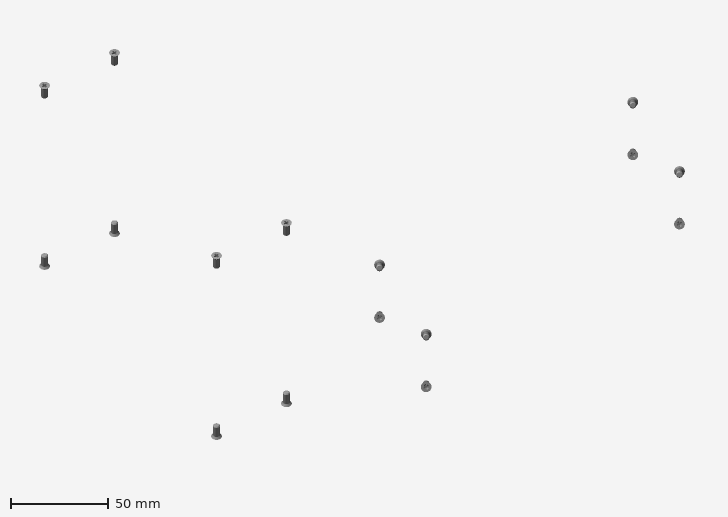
import cadquery as cq

PATTERN_LENGTH_X = 161.0
PATTERN_WIDTH_Y = 49.03
PATTERN_HEIGHT_Z = 126.6

HEAD_DIAMETER = 5.5
HEAD_HEIGHT = 1.15
SHANK_DIAMETER = 3.5
SCREW_LENGTH = 8.0
TIP_CHAMFER = 0.5

RECESS_SPAN = 3.0
RECESS_FLOOR_DIAMETER = 1.5
RECESS_ARM_WIDTH = 1.0
RECESS_DEPTH = 1.5

HEAD_RADIUS = HEAD_DIAMETER / 2
SHANK_RADIUS = SHANK_DIAMETER / 2
CENTER_X = (PATTERN_LENGTH_X - HEAD_DIAMETER) / 2
CENTER_Y = (PATTERN_WIDTH_Y - HEAD_DIAMETER) / 2
HEAD_FACE_Z = PATTERN_HEIGHT_Z / 2


def make_cross_recess():
    """Cross-shaped cutter, its arms sloping inwards to a flat floor."""
    taper = cq.Solid.makeCone(
        RECESS_FLOOR_DIAMETER / 2,
        RECESS_SPAN / 2,
        RECESS_DEPTH,
        pnt=cq.Vector(0, 0, -RECESS_DEPTH),
    )
    arm_x = cq.Workplane("XY").rect(RECESS_SPAN, RECESS_ARM_WIDTH).extrude(-RECESS_DEPTH)
    arm_y = cq.Workplane("XY").rect(RECESS_ARM_WIDTH, RECESS_SPAN).extrude(-RECESS_DEPTH)
    return arm_x.union(arm_y).intersect(cq.Workplane(obj=taper))


def make_screw():
    """Countersunk screw pointing down, with its head face at Z = 0."""
    body = (
        cq.Workplane("XZ")
        .moveTo(0, 0)
        .lineTo(HEAD_RADIUS, 0)
        .lineTo(SHANK_RADIUS, -HEAD_HEIGHT)
        .lineTo(SHANK_RADIUS, -SCREW_LENGTH + TIP_CHAMFER)
        .lineTo(SHANK_RADIUS - TIP_CHAMFER, -SCREW_LENGTH)
        .lineTo(0, -SCREW_LENGTH)
        .close()
        .revolve(360, (0, 0, 0), (0, 1, 0))
    )
    return body.cut(make_cross_recess())


upper_screw = make_screw()
lower_screw = upper_screw.rotate((0, 0, 0), (1, 0, 0), 180)

screws = []
for x in (-CENTER_X, CENTER_X):
    for y in (-CENTER_Y, CENTER_Y):
        screws.append(upper_screw.translate((x, y, HEAD_FACE_Z)).val())
        screws.append(lower_screw.translate((x, y, -HEAD_FACE_Z)).val())

result = cq.Compound.makeCompound(screws)